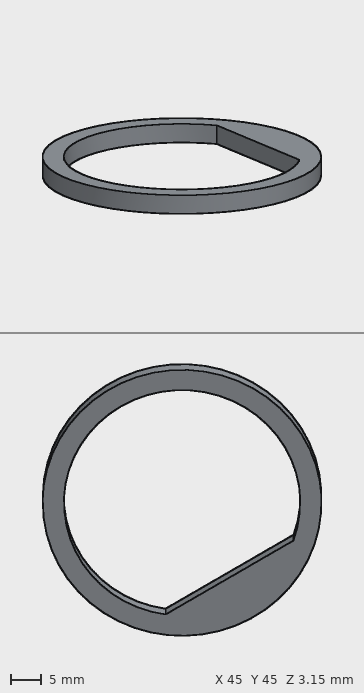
import cadquery as cq

outer_diameter = 45.0
bore_diameter = 38.1
thickness = 3.15
flat_offset = 14.75


def d_shaped_bore():
    """Round bore cut off by a flat on its +Y side."""
    bore = cq.Workplane("XY").circle(bore_diameter / 2).extrude(thickness)
    below_flat = (
        cq.Workplane("XY")
        .center(0, flat_offset - bore_diameter / 2)
        .rect(bore_diameter, bore_diameter)
        .extrude(thickness)
    )
    return bore.intersect(below_flat)


disc = cq.Workplane("XY").circle(outer_diameter / 2).extrude(thickness)
result = disc.cut(d_shaped_bore())